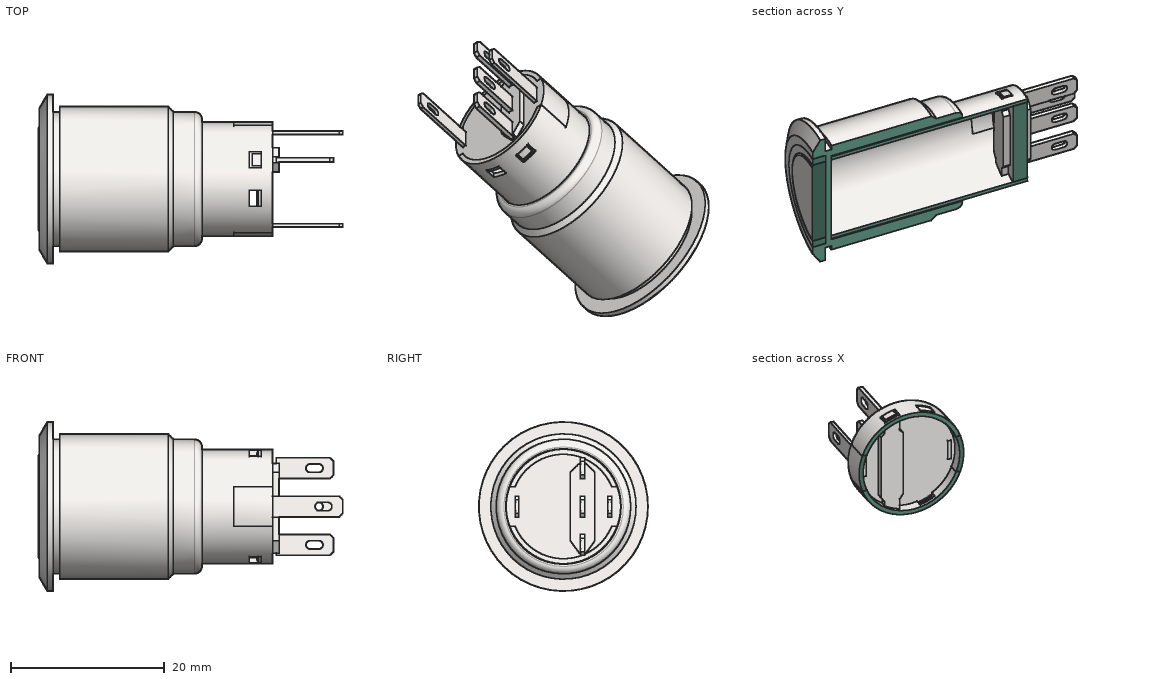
import cadquery as cq

BUTTON_FRONT = 0.0
FLANGE_FRONT = 0.1
FLANGE_RIM = 1.2
FLANGE_REAR = 1.95
BARREL_START = 2.77
BARREL_END = 17.6
HOUSING_REAR = 21.3
TONGUE_START = 25.42
WINDOW_START = 27.45
BASE_FRONT = 28.4
WINDOW_END = 29.0
BASE_REAR = 30.5
BLOCK_REAR = 31.32

FLANGE_DIA = 22.0
FLANGE_FACE_DIA = 18.37
BARREL_DIA = 18.9
NECK_DIA = 17.5
HOUSING_BORE_DIA = 15.0
BARREL_CHAMFER = (BARREL_DIA - NECK_DIA) / 2
HOUSING_REAR_FILLET = 1.0

RING_DIA = 15.8
BUTTON_DIA = 13.6
BUTTON_EDGE = 0.25

SLEEVE_DIA = 14.9
SLEEVE_BORE_DIA = 13.6
SLEEVE_RADIUS = SLEEVE_DIA / 2
TONGUE_WIDTH = 5.15

POLE_OFFSET = 2.5
WINDOW_WIDTH = 2.05

HOOK_RAMP_LENGTH = 0.25
HOOK_RAMP_HEIGHT = 0.48

BLOCK_WIDTH = 3.15
BLOCK_TOP = 5.62
BLOCK_BOTTOM = -6.1
BLOCK_SHOULDER = 4.47
BLOCK_END_WIDTH = 0.8
PAD_RADIUS = 7.1
CATCH_START = 27.85
CATCH_WIDTH = 1.55

TERMINAL_WIDTH = 2.75
TERMINAL_CHAMFER = 0.48
SLOT_LENGTH = 2.18
SLOT_WIDTH = 1.05
SLOT_TO_TIP = 2.5
SIDE_TERMINAL_Y = 6.0
SIDE_TERMINAL_THICKNESS = 0.48
SIDE_TERMINAL_TIP = 39.6
BLOCK_TERMINAL_PITCH = 5.0
BLOCK_TERMINAL_THICKNESS = 0.6
BLOCK_TERMINAL_START = 30.93
BLOCK_TERMINAL_TIP = 38.4


def cylinder_x(start, end, diameter):
    """Solid cylinder on the switch axis between two X stations."""
    return cq.Workplane("YZ", origin=(start, 0, 0)).circle(diameter / 2).extrude(end - start)


def box_x(start, end, y, width, height):
    """Box between two X stations, centred on the given Y and on Z = 0."""
    return cq.Workplane("YZ", origin=(start, y, 0)).rect(width, height).extrude(end - start)


def make_housing():
    flange_radius = FLANGE_DIA / 2
    barrel_radius = BARREL_DIA / 2
    neck_radius = NECK_DIA / 2
    outline = [
        (FLANGE_FRONT, 0),
        (FLANGE_FRONT, FLANGE_FACE_DIA / 2),
        (FLANGE_RIM, flange_radius),
        (FLANGE_REAR, flange_radius),
        (FLANGE_REAR, neck_radius),
        (BARREL_START, neck_radius),
        (BARREL_START, barrel_radius),
        (BARREL_END - BARREL_CHAMFER, barrel_radius),
        (BARREL_END, neck_radius),
        (HOUSING_REAR, neck_radius),
        (HOUSING_REAR, 0),
    ]
    body = cq.Workplane("XY").polyline(outline).close().revolve(360, (0, 0, 0), (1, 0, 0))
    body = body.faces(">X").edges().fillet(HOUSING_REAR_FILLET)
    front_recess = cylinder_x(FLANGE_FRONT, FLANGE_REAR, RING_DIA)
    rear_bore = cylinder_x(BARREL_START, HOUSING_REAR, HOUSING_BORE_DIA)
    return body.cut(front_recess).cut(rear_bore)


def make_ring():
    disc = cylinder_x(FLANGE_FRONT, FLANGE_REAR, RING_DIA)
    return disc.cut(cylinder_x(FLANGE_FRONT, FLANGE_REAR, BUTTON_DIA))


def make_button():
    proud_height = FLANGE_FRONT - BUTTON_FRONT
    button = cylinder_x(BUTTON_FRONT, FLANGE_REAR, BUTTON_DIA)
    return button.faces("<X").chamfer(proud_height, BUTTON_EDGE)


def make_tongue_bar():
    """Bar across the sleeve whose ends are the two side tongues."""
    return box_x(TONGUE_START, BASE_REAR, 0, SLEEVE_DIA, TONGUE_WIDTH)


def make_sleeve():
    bore = cylinder_x(BARREL_START, BASE_REAR, SLEEVE_BORE_DIA)
    sleeve = cylinder_x(BARREL_START, BASE_REAR, SLEEVE_DIA).cut(bore)
    for y in (-POLE_OFFSET, POLE_OFFSET):
        sleeve = sleeve.cut(box_x(WINDOW_START, WINDOW_END, y, WINDOW_WIDTH, SLEEVE_DIA))
    return sleeve.cut(make_tongue_bar())


def make_hooks():
    """Upper and lower hooks with a ramp on the leading edge and a face flush with the sleeve."""
    ramp_end = BASE_FRONT + HOOK_RAMP_LENGTH
    profile = [
        (BASE_FRONT, 0),
        (BASE_FRONT, SLEEVE_RADIUS - HOOK_RAMP_HEIGHT),
        (ramp_end, SLEEVE_RADIUS),
        (WINDOW_END, SLEEVE_RADIUS),
        (WINDOW_END, 0),
    ]
    disc = cq.Workplane("XY").polyline(profile).close().revolve(360, (0, 0, 0), (1, 0, 0))
    return disc.intersect(box_x(BASE_FRONT, WINDOW_END, -POLE_OFFSET, WINDOW_WIDTH, SLEEVE_DIA))


def make_contact_block():
    """Block with bevelled corners whose pads and catches fill the windows at +Y."""
    half_width = BLOCK_WIDTH / 2
    half_end = BLOCK_END_WIDTH / 2
    outline = [
        (-half_end, BLOCK_TOP),
        (half_end, BLOCK_TOP),
        (half_width, BLOCK_SHOULDER),
        (half_width, -BLOCK_SHOULDER),
        (half_end, BLOCK_BOTTOM),
        (-half_end, BLOCK_BOTTOM),
        (-half_width, -BLOCK_SHOULDER),
        (-half_width, BLOCK_SHOULDER),
    ]
    block = cq.Workplane("YZ", origin=(WINDOW_START, POLE_OFFSET, 0)).polyline(outline).close()
    block = block.extrude(BLOCK_REAR - WINDOW_START)
    pads = cylinder_x(WINDOW_START, WINDOW_END, 2 * PAD_RADIUS).intersect(
        box_x(WINDOW_START, WINDOW_END, POLE_OFFSET, WINDOW_WIDTH, SLEEVE_DIA)
    )
    catches = cylinder_x(CATCH_START, WINDOW_END, SLEEVE_DIA).intersect(
        box_x(CATCH_START, WINDOW_END, POLE_OFFSET, CATCH_WIDTH, SLEEVE_DIA)
    )
    return block.union(pads).union(catches)


def make_base(terminals):
    """Base plug with side tongues, hooks and contact block, pocketed for the terminals."""
    plug = cylinder_x(BASE_FRONT, BASE_REAR, SLEEVE_BORE_DIA)
    bore = cylinder_x(TONGUE_START, BASE_REAR, SLEEVE_BORE_DIA)
    tongues = cylinder_x(TONGUE_START, BASE_REAR, SLEEVE_DIA).intersect(make_tongue_bar()).cut(bore)
    base = plug.union(tongues).union(make_hooks()).union(make_contact_block())
    for terminal in terminals:
        base = base.cut(terminal)
    return base


def make_terminal(start, tip, y, z, thickness):
    """Flat solder tab along X with a chamfered tip and a slotted eye."""
    length = tip - start
    tab = cq.Workplane("XY").box(length, thickness, TERMINAL_WIDTH)
    tab = tab.translate((start + length / 2, y, z))
    tab = tab.faces(">X").edges("|Y").chamfer(TERMINAL_CHAMFER)
    slot = (
        cq.Workplane("XZ", origin=(tip - SLOT_TO_TIP, y, z))
        .slot2D(SLOT_LENGTH, SLOT_WIDTH)
        .extrude(thickness, both=True)
    )
    return tab.cut(slot)


side_terminals = [
    make_terminal(BASE_FRONT, SIDE_TERMINAL_TIP, y, 0, SIDE_TERMINAL_THICKNESS)
    for y in (-SIDE_TERMINAL_Y, SIDE_TERMINAL_Y)
]
block_terminals = [
    make_terminal(BLOCK_TERMINAL_START, BLOCK_TERMINAL_TIP, POLE_OFFSET, z, BLOCK_TERMINAL_THICKNESS)
    for z in (-BLOCK_TERMINAL_PITCH, 0, BLOCK_TERMINAL_PITCH)
]

terminals = side_terminals + block_terminals

housing = make_housing()
ring = make_ring()
button = make_button()
sleeve = make_sleeve()
base = make_base(terminals)

result = cq.Compound.makeCompound(
    [
        housing.val(),
        ring.val(),
        button.val(),
        sleeve.val(),
        base.val(),
        *[terminal.val() for terminal in terminals],
    ]
)